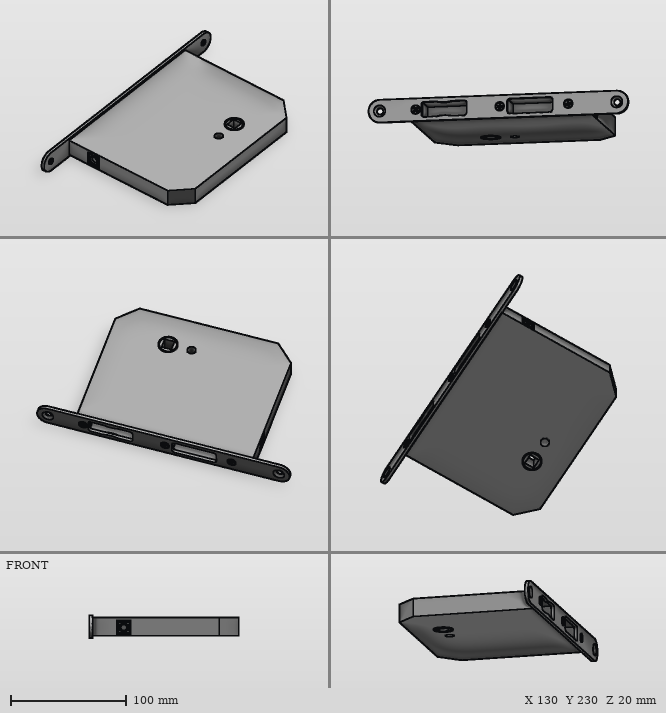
import cadquery as cq


PLATE_LENGTH = 230.0
PLATE_WIDTH = 20.0
PLATE_THICKNESS = 3.0
FIXING_HOLE_OFFSET = 105.0
FIXING_HOLE_DIAMETER = 5.5
FIXING_SINK_DIAMETER = 10.1

OVERALL_DEPTH = 130.0
CASE_LENGTH = 160.0
CASE_CENTRE_Y = -0.5
CASE_THICKNESS = 16.0
CASE_CORNER_CUT = 17.0
CASE_MIN_Y = CASE_CENTRE_Y - CASE_LENGTH / 2

OPENING_LENGTH = 40.5
OPENING_HEIGHT = 13.3
OPENING_CORNER_RADIUS = 3.0
LATCH_CENTRE_Y = 48.0
BOLT_CENTRE_Y = -28.0
POCKET_DEPTH = 23.0
LATCH_POCKET_STEP = 0.7
WAIST_LENGTH = 13.8
WAIST_RISE = 1.0

FOLLOWER_X = 100.0
FOLLOWER_Y = 27.4
FOLLOWER_DIAMETER = 17.0
FOLLOWER_HUB_DIAMETER = 15.2
FOLLOWER_LEDGE_DEPTH = 0.5
SPINDLE_SIDE = 9.0
KEY_HOLE_Y = 6.0
KEY_HOLE_DIAMETER = 7.5

SCREW_SINK_DIAMETER = 7.8
SCREW_HEAD_DIAMETER = 7.0
SCREW_SHANK_DIAMETER = 4.0
SCREW_LENGTH = 15.0
CROSS_LENGTH = 4.0
CROSS_WIDTH = 1.2
CROSS_DEPTH = 1.5
CROSS_TAPER = 15.0
SCREWS = [(73.1, 45.0), (-1.4, 5.0), (-62.0, -12.0)]

INSERT_X = 30.1
INSERT_Z = -0.7
RECESS_SIDE = 12.2
RECESS_DEPTH = 7.0
INSERT_SIDE = 11.0
INSERT_SETBACK = 0.5
INSERT_CHAMFER = 1.0
INSERT_SINK_DIAMETER = 7.8
INSERT_HOLE_DIAMETER = 5.3
INSERT_HOLE_DEPTH = 4.5
INSERT_SINK_ANGLE = 90.0


def countersunk_x(outer_diameter, shank_diameter, x_start, x_end, y):
    """Round shank along X that widens at 45 degrees to the outer diameter at x_start."""
    cone_height = (outer_diameter - shank_diameter) / 2
    profile = (
        cq.Workplane("XY", origin=(0, y, 0))
        .moveTo(x_start, 0)
        .lineTo(x_start, outer_diameter / 2)
        .lineTo(x_start + cone_height, shank_diameter / 2)
        .lineTo(x_end, shank_diameter / 2)
        .lineTo(x_end, 0)
        .close()
    )
    return profile.revolve(360, (0, 0, 0), (1, 0, 0))


def screw_hole(y):
    """Tool for the hole that takes a screw through the faceplate into the case."""
    return countersunk_x(SCREW_SINK_DIAMETER, SCREW_SHANK_DIAMETER, 0, SCREW_LENGTH, y)


def plate_opening(centre_y):
    """Round-cornered opening through the faceplate."""
    opening = cq.Workplane("YZ", origin=(0, centre_y, 0)).rect(OPENING_LENGTH, OPENING_HEIGHT)
    return opening.extrude(PLATE_THICKNESS).edges("|X").fillet(OPENING_CORNER_RADIUS)


def waist_bulge(side):
    """Shallow arc that narrows the latch opening from its upper (side 1) or lower (side -1) edge."""
    edge_z = side * OPENING_HEIGHT / 2
    return (
        cq.Workplane("YZ", origin=(0, LATCH_CENTRE_Y, 0))
        .moveTo(-WAIST_LENGTH / 2, edge_z)
        .threePointArc((0, edge_z - side * WAIST_RISE), (WAIST_LENGTH / 2, edge_z))
        .close()
        .extrude(PLATE_THICKNESS)
    )


def make_faceplate():
    """Round-ended plate with end fixing holes, two openings and the screw holes."""
    plate = cq.Workplane("YZ").slot2D(PLATE_LENGTH, PLATE_WIDTH).extrude(PLATE_THICKNESS)
    for y in (FIXING_HOLE_OFFSET, -FIXING_HOLE_OFFSET):
        plate = plate.cut(
            countersunk_x(FIXING_SINK_DIAMETER, FIXING_HOLE_DIAMETER, 0, PLATE_THICKNESS, y)
        )
    latch_opening = plate_opening(LATCH_CENTRE_Y)
    for side in (1, -1):
        latch_opening = latch_opening.cut(waist_bulge(side))
    plate = plate.cut(latch_opening).cut(plate_opening(BOLT_CENTRE_Y))
    for y, _ in SCREWS:
        plate = plate.cut(screw_hole(y))
    return plate


def case_pocket(y_min, y_max):
    """Rectangular pocket that runs into the case from behind the faceplate."""
    pocket = cq.Workplane("XY").box(
        POCKET_DEPTH, y_max - y_min, OPENING_HEIGHT, centered=(False, False, True)
    )
    return pocket.translate((PLATE_THICKNESS, y_min, 0))


def make_case():
    """Block with two cut rear corners, pockets, bores, screw holes and the insert recess."""
    case = (
        cq.Workplane("XY")
        .box(OVERALL_DEPTH - PLATE_THICKNESS, CASE_LENGTH, CASE_THICKNESS, centered=(False, True, True))
        .translate((PLATE_THICKNESS, CASE_CENTRE_Y, 0))
        .edges("|Z and >X")
        .chamfer(CASE_CORNER_CUT)
    )
    half_opening = OPENING_LENGTH / 2
    case = case.cut(
        case_pocket(LATCH_CENTRE_Y - half_opening, LATCH_CENTRE_Y + half_opening - LATCH_POCKET_STEP)
    )
    case = case.cut(case_pocket(BOLT_CENTRE_Y - half_opening, BOLT_CENTRE_Y + half_opening))
    for y, diameter in ((FOLLOWER_Y, FOLLOWER_DIAMETER), (KEY_HOLE_Y, KEY_HOLE_DIAMETER)):
        bore = cq.Workplane("XY").center(FOLLOWER_X, y).circle(diameter / 2)
        case = case.cut(bore.extrude(CASE_THICKNESS / 2, both=True))
    for y, _ in SCREWS:
        case = case.cut(screw_hole(y))
    return case.cut(square_block(RECESS_SIDE, 0, RECESS_DEPTH))


def make_follower():
    """Disc that fills its bore, with a hub flush with each face and a shallow ledge around the hub."""
    axis = cq.Workplane("XY").center(FOLLOWER_X, FOLLOWER_Y)
    half_thickness = CASE_THICKNESS / 2
    hub = axis.circle(FOLLOWER_HUB_DIAMETER / 2).extrude(half_thickness, both=True)
    disc = axis.circle(FOLLOWER_DIAMETER / 2).extrude(half_thickness - FOLLOWER_LEDGE_DEPTH, both=True)
    spindle_hole = axis.rect(SPINDLE_SIDE, SPINDLE_SIDE).extrude(half_thickness, both=True)
    return disc.union(hub).cut(spindle_hole)


def make_screw(y, cross_angle):
    """Countersunk screw whose head sits just below the outer face of the plate."""
    head_x = (SCREW_SINK_DIAMETER - SCREW_HEAD_DIAMETER) / 2
    screw = countersunk_x(SCREW_HEAD_DIAMETER, SCREW_SHANK_DIAMETER, head_x, SCREW_LENGTH, y)
    for arm_angle in (0, 90):
        arm = (
            cq.Workplane("YZ", origin=(head_x, y, 0))
            .transformed(rotate=(0, 0, cross_angle + arm_angle))
            .rect(CROSS_LENGTH, CROSS_WIDTH)
            .extrude(CROSS_DEPTH, taper=CROSS_TAPER)
        )
        screw = screw.cut(arm)
    return screw


def square_block(side, depth_start, depth_end):
    """Square block between two depths measured inwards from the -Y side of the case."""
    face = cq.Workplane("XZ", origin=(INSERT_X, CASE_MIN_Y + depth_start, INSERT_Z))
    return face.rect(side, side).extrude(depth_start - depth_end)


def make_insert():
    """Chamfered square insert, set back in its recess, with a countersunk blind hole."""
    insert = square_block(INSERT_SIDE, INSERT_SETBACK, RECESS_DEPTH)
    insert = insert.faces("<Y").chamfer(INSERT_CHAMFER)
    return insert.faces("<Y").workplane(centerOption="CenterOfBoundBox").cskHole(
        INSERT_HOLE_DIAMETER, INSERT_SINK_DIAMETER, INSERT_SINK_ANGLE, INSERT_HOLE_DEPTH
    )


faceplate = make_faceplate()
case = make_case()
follower = make_follower()
insert = make_insert()
screws = [make_screw(y, cross_angle) for y, cross_angle in SCREWS]

result = cq.Compound.makeCompound(
    [faceplate.val(), case.val(), follower.val(), insert.val(), *[screw.val() for screw in screws]]
)